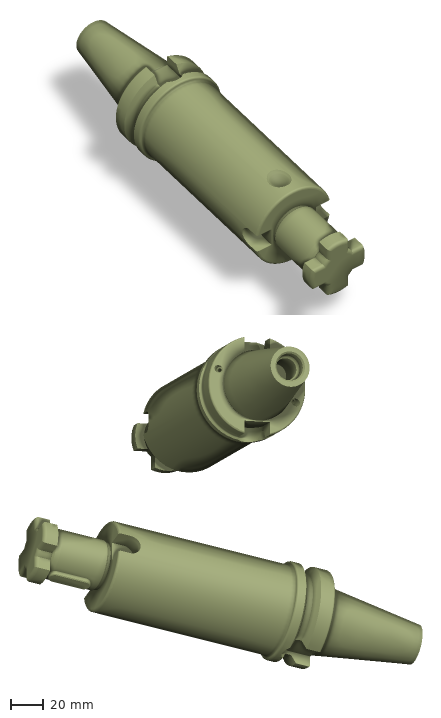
import cadquery as cq
import math


taper_small_radius = 12.7
taper_large_radius = 22.2
taper_length = 65.0
undercut_radius = 21.5
undercut_ramp = 1.0
undercut_mouth_radius = 22.5
undercut_recess = 0.8
pilot_radius = 8.5
pilot_depth = 7.8
pilot_chamfer = 1.0
thread_radius = 7.0
thread_depth = 30.0

flange_radius = 31.5
flange_face_x = 66.7
flange_face_fillet = 1.0
groove_start_x = 76.2
groove_floor_start_x = 79.5
groove_floor_end_x = 83.5
groove_end_x = 86.3
groove_floor_radius = 26.4
flange_end_x = 92.2

drive_slot_width = 16.5
drive_slot_floor = 22.5
drive_slot_tip_x = 89.0
coolant_mouth_radius = 2.3
coolant_mouth_depth = 2.0
coolant_hole_radius = 1.3
coolant_hole_circle = 26.5
coolant_hole_angle = 20
coolant_hole_tilt = 35
coolant_hole_depth = 10.3

body_radius = 29.0
body_end_x = 210.9
body_end_fillet = 1.5
key_slot_width = 13.2
key_slot_tip_x = 196.6
key_slot_floor = 17.0
dimple_x = 195.5
dimple_sphere_radius = 10.0
dimple_sphere_height = 6.0

spigot_radius = 16.0
spigot_neck_radius = 15.2
spigot_neck_end_x = 212.5
spigot_start_x = 213.5
spigot_lead_x = 244.2
spigot_lead_end_x = 247.3
spigot_lead_radius = 15.5
spigot_end_x = 248.5

key_length = 28.0
key_width = 8.3
key_center_x = 232.3
key_top = 18.3
key_height = 7.0
key_chamfer = 0.5

overall_length = 258.5
screw_hub_radius = 13.7
screw_head_radius = 21.0
screw_lug_width = 16.0
screw_lug_count = 4
screw_head_fillet = 2.3
screw_shank_radius = 8.0
screw_shank_length = 31.0


def turned(profile):
    """Revolve a closed half profile, drawn in XZ, around the X axis."""
    return profile.close().revolve(360, (0, 0, 0), (1, 0, 0))


def x_cylinder(radius, start_x, end_x):
    """Solid cylinder on the X axis."""
    section = cq.Workplane("YZ", origin=(start_x, 0, 0)).circle(radius)
    return section.extrude(end_x - start_x)


def turned_blank():
    """Taper, flange, body and spigot as one turned shape."""
    step_fillet = (flange_radius - body_radius) / 2
    step_middle_radius = body_radius + step_fillet
    spigot_chamfer = spigot_end_x - spigot_lead_end_x
    profile = (
        cq.Workplane("XZ")
        .lineTo(0, taper_small_radius)
        .lineTo(taper_length, taper_large_radius)
        .lineTo(taper_length + undercut_ramp, undercut_radius)
        .lineTo(flange_face_x + undercut_recess, undercut_radius)
        .lineTo(flange_face_x + undercut_recess, undercut_mouth_radius)
        .lineTo(flange_face_x, undercut_mouth_radius)
        .lineTo(flange_face_x, flange_radius - flange_face_fillet)
        .radiusArc((flange_face_x + flange_face_fillet, flange_radius), flange_face_fillet)
        .lineTo(groove_start_x, flange_radius)
        .lineTo(groove_floor_start_x, groove_floor_radius)
        .lineTo(groove_floor_end_x, groove_floor_radius)
        .lineTo(groove_end_x, flange_radius)
        .lineTo(flange_end_x - step_fillet, flange_radius)
        .radiusArc((flange_end_x, step_middle_radius), step_fillet)
        .radiusArc((flange_end_x + step_fillet, body_radius), -step_fillet)
        .lineTo(body_end_x - body_end_fillet, body_radius)
        .radiusArc((body_end_x, body_radius - body_end_fillet), body_end_fillet)
        .lineTo(body_end_x, spigot_neck_radius)
        .lineTo(spigot_neck_end_x, spigot_neck_radius)
        .lineTo(spigot_start_x, spigot_radius)
        .lineTo(spigot_lead_x, spigot_radius)
        .lineTo(spigot_lead_end_x, spigot_lead_radius)
        .lineTo(spigot_end_x, spigot_lead_radius - spigot_chamfer)
        .lineTo(spigot_end_x, 0)
    )
    return turned(profile)


def pull_stud_bore():
    """Chamfered pilot bore, conical step and blind threaded bore."""
    step = pilot_radius - thread_radius
    profile = (
        cq.Workplane("XZ")
        .lineTo(0, pilot_radius + pilot_chamfer)
        .lineTo(pilot_chamfer, pilot_radius)
        .lineTo(pilot_depth, pilot_radius)
        .lineTo(pilot_depth + step, thread_radius)
        .lineTo(thread_depth, thread_radius)
        .lineTo(thread_depth, 0)
    )
    return turned(profile)


def round_ended_slot(tip_x, open_x, width, floor, top):
    """Cutter along +Z from floor to top: a slot with a round end at tip_x, open at open_x."""
    half = width / 2
    toward_open = math.copysign(half, open_x - tip_x)
    round_start_x = tip_x + toward_open
    return (
        cq.Workplane("XY", origin=(0, 0, floor))
        .moveTo(open_x, -half)
        .lineTo(round_start_x, -half)
        .threePointArc((tip_x, 0), (round_start_x, half))
        .lineTo(open_x, half)
        .close()
        .extrude(top - floor)
    )


def turned_about_axis(shape, angle):
    """Copy of a shape turned about the spindle axis by an angle in degrees."""
    return shape.rotate((0, 0, 0), (1, 0, 0), angle)


def coolant_hole():
    """Blind stepped hole in the flange face on the +Y side, leaning toward the axis as it goes in."""
    mouth = (flange_face_x, coolant_hole_circle, 0)
    lead_in = coolant_mouth_radius
    drill = x_cylinder(coolant_mouth_radius, -lead_in, coolant_mouth_depth)
    drill = drill.union(x_cylinder(coolant_hole_radius, 0, coolant_hole_depth))
    return drill.rotate((0, 0, 0), (0, 0, 1), -coolant_hole_tilt).translate(mouth)


def dimple():
    center = (dimple_x, 0, body_radius + dimple_sphere_height)
    return cq.Workplane("XY").sphere(dimple_sphere_radius).translate(center)


def screw_shank():
    return x_cylinder(screw_shank_radius, spigot_end_x - screw_shank_length, spigot_end_x)


def feather_key():
    """Round-ended key lying in the underside of the spigot."""
    return (
        cq.Workplane("XY", origin=(key_center_x, 0, -key_top))
        .slot2D(key_length, key_width)
        .extrude(key_height)
        .faces("<Z")
        .edges()
        .chamfer(key_chamfer)
    )


def clamping_screw():
    """Screw whose head is a hub with four radial lugs, rounded along the outer end."""
    head = x_cylinder(screw_hub_radius, spigot_end_x, overall_length)
    lug_length = overall_length - spigot_end_x
    lug = cq.Workplane("XY").box(
        lug_length, screw_lug_width, screw_head_radius, centered=(False, True, False)
    )
    lug = lug.translate((spigot_end_x, 0, 0))
    lug = lug.intersect(x_cylinder(screw_head_radius, spigot_end_x, overall_length))
    for index in range(screw_lug_count):
        head = head.union(turned_about_axis(lug, index * 360 / screw_lug_count))
    head = head.faces(">X").edges().fillet(screw_head_fillet)
    return head.union(screw_shank())


def holder():
    """Turned blank with all of its bores, slots and recesses."""
    drive_slot = round_ended_slot(
        drive_slot_tip_x, taper_length, drive_slot_width, drive_slot_floor, flange_radius
    )
    key_slot = round_ended_slot(
        key_slot_tip_x, body_end_x, key_slot_width, key_slot_floor, body_radius
    )
    body = turned_blank().cut(pull_stud_bore()).cut(dimple())
    for angle in (0, 180):
        body = body.cut(turned_about_axis(drive_slot, angle))
        body = body.cut(turned_about_axis(key_slot, angle + 90))
        body = body.cut(turned_about_axis(coolant_hole(), angle + coolant_hole_angle))
    return body.cut(screw_shank()).cut(feather_key())


result = cq.Compound.makeCompound(
    [holder().val(), feather_key().val(), clamping_screw().val()]
)